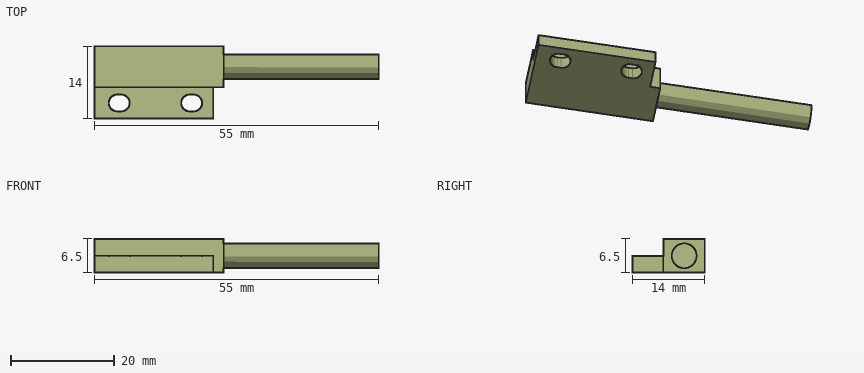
import cadquery as cq

body_length = 25.0
body_width = 8.0
body_height = 6.5

flange_length = 23.0
flange_width = 6.0
flange_height = 3.25

slot_length = 4.0
slot_width = 3.2
slot_count = 2
slot_spacing = 14.0
first_slot_x = 4.8
slot_y = flange_width / 2

cable_diameter = 4.8
cable_length = 30.0


def make_body():
    """Rectangular block standing behind the flange."""
    block = cq.Workplane("XY").box(body_length, body_width, body_height, centered=False)
    return block.translate((0, flange_width, 0))


def make_flange():
    """Low plate in front of the body, flush with its base and -X end."""
    return cq.Workplane("XY").box(flange_length, flange_width, flange_height, centered=False)


def make_slots():
    """Cutters for the two slots through the flange."""
    centers = [(first_slot_x + index * slot_spacing, slot_y) for index in range(slot_count)]
    return cq.Workplane("XY").pushPoints(centers).slot2D(slot_length, slot_width).extrude(flange_height)


def make_cable():
    """Round cable centred on the end face of the body."""
    cable_y = flange_width + body_width / 2
    cable_z = body_height / 2
    end_face = cq.Workplane("YZ", origin=(body_length, cable_y, cable_z))
    return end_face.circle(cable_diameter / 2).extrude(cable_length)


result = make_body().union(make_flange()).cut(make_slots()).union(make_cable())